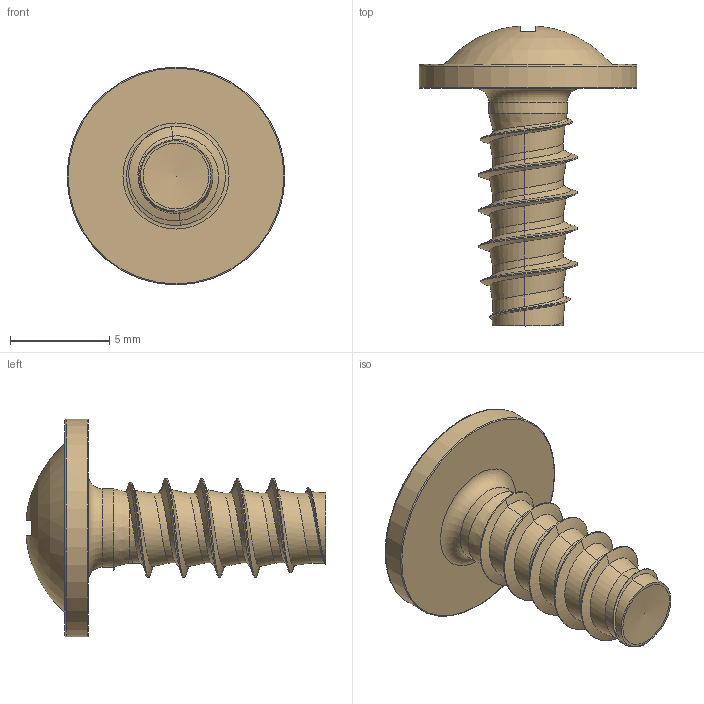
import cadquery as cq
import math


FLANGE_RADIUS = 5.5
FLANGE_THICKNESS = 1.2
FLANGE_TOP_FILLET = 0.1
FLANGE_BOTTOM_FILLET = 0.05
DOME_BASE_RADIUS = 4.25
DOME_HEIGHT = 1.97
CROWN = FLANGE_THICKNESS + DOME_HEIGHT

RECESS_WIDTH = 0.76
RECESS_SPAN = 3.6
RECESS_DEPTH = 1.3

JOINT_DEPTH = FLANGE_THICKNESS / 2

SHANK_LENGTH = 12.0
NECK_RADIUS = 1.98
UNDERHEAD_FILLET = 0.7
NECK_END = 1.27
NECK_TAPER_END = 2.1
TIP_DISH_RADIUS = 1.66
TIP_DISH_DEPTH = 0.1

PITCH = 1.8
CREST_RADIUS = 2.5
CREST_HALF_WIDTH = 0.03
CREST_ANGLE_AT_SEAT = 25.0
CORE_RADIUS = 1.77
CORE_TAPER_END = 1.08

TOOTH = [
    (-0.36, 0),
    (-0.12, 0.37),
    (-CREST_HALF_WIDTH, CREST_RADIUS - CORE_RADIUS),
    (CREST_HALF_WIDTH, CREST_RADIUS - CORE_RADIUS),
    (0.19, 0.18),
]

RUN_IN_HALF_TURNS = 3
FULL_HALF_TURNS = 7
RUN_OUT_HALF_TURNS = 4
RUN_IN_END = 3.05

RUN_IN_LOSS = 0.24
RUN_OUT_LOSS = 0.33
SMALLEST_TOOTH = 0.06


def revolve_about_axis(profile):
    """Revolve a half profile drawn in XY around the Y axis."""
    return profile.close().revolve(360, (0, 0, 0), (0, 1, 0))


def make_head():
    flange = cq.Workplane("XZ").circle(FLANGE_RADIUS).extrude(-FLANGE_THICKNESS)
    flange = flange.faces(">Y").edges().fillet(FLANGE_TOP_FILLET)
    flange = flange.faces("<Y").edges().fillet(FLANGE_BOTTOM_FILLET)

    sphere_radius = (DOME_BASE_RADIUS**2 + DOME_HEIGHT**2) / (2 * DOME_HEIGHT)
    half_angle = math.asin(DOME_BASE_RADIUS / sphere_radius) / 2
    arc_middle = (
        sphere_radius * math.sin(half_angle),
        CROWN - sphere_radius * (1 - math.cos(half_angle)),
    )
    dome = revolve_about_axis(
        cq.Workplane("XY")
        .moveTo(0, FLANGE_THICKNESS - JOINT_DEPTH)
        .lineTo(DOME_BASE_RADIUS, FLANGE_THICKNESS - JOINT_DEPTH)
        .lineTo(DOME_BASE_RADIUS, FLANGE_THICKNESS)
        .threePointArc(arc_middle, (0, CROWN))
    )
    return flange.union(dome)


def make_recess():
    plane = cq.Workplane("XZ", origin=(0, CROWN, 0))
    wing_pair = plane.rect(RECESS_SPAN, RECESS_WIDTH).extrude(RECESS_DEPTH)
    return wing_pair.union(plane.rect(RECESS_WIDTH, RECESS_SPAN).extrude(RECESS_DEPTH))


def make_neck():
    """Fillet under the flange, plain collar and cone down to the core."""
    fillet_middle = UNDERHEAD_FILLET * (1 - math.sqrt(0.5))
    return revolve_about_axis(
        cq.Workplane("XY")
        .moveTo(0, JOINT_DEPTH)
        .lineTo(NECK_RADIUS + UNDERHEAD_FILLET, JOINT_DEPTH)
        .lineTo(NECK_RADIUS + UNDERHEAD_FILLET, 0)
        .threePointArc((NECK_RADIUS + fillet_middle, -fillet_middle), (NECK_RADIUS, -UNDERHEAD_FILLET))
        .lineTo(NECK_RADIUS, -NECK_END)
        .lineTo(CORE_RADIUS, -NECK_TAPER_END)
        .lineTo(0, -NECK_TAPER_END)
    )




def crest_depth(station):
    """Depth of the crest below the seat at a half-turn station."""
    return RUN_IN_END + (station - RUN_IN_HALF_TURNS) * PITCH / 2


def tooth_scale(station):
    """Size of the tooth relative to the full one, reduced toward both ends."""
    run_in = RUN_IN_HALF_TURNS - station
    run_out = station - RUN_IN_HALF_TURNS - FULL_HALF_TURNS
    return max(SMALLEST_TOOTH, 1 - RUN_IN_LOSS * max(run_in, 0) - RUN_OUT_LOSS * max(run_out, 0))


def thread_corners(station):
    """Radius and depth of each corner of the thread section at a station."""
    depth = crest_depth(station)
    scale = tooth_scale(station)
    tooth = [(CORE_RADIUS + scale * height, depth + scale * offset) for offset, height in TOOTH]
    return tooth + [(CORE_RADIUS, depth + CORE_TAPER_END)]


def station_angle(station):
    return CREST_ANGLE_AT_SEAT + 360 * crest_depth(station) / PITCH


def half_turn(corner, station):
    """Helical edge followed by one corner of the section over half a turn."""
    start_radius, start_depth = thread_corners(station)[corner]
    end_radius, end_depth = thread_corners(station + 1)[corner]
    rise = end_depth - start_depth
    if math.isclose(start_radius, end_radius):
        helix = cq.Wire.makeHelix(2 * rise, rise, start_radius)
    else:
        cone_angle = math.atan2(end_radius - start_radius, rise)
        slant = rise / math.cos(cone_angle)
        helix = cq.Wire.makeHelix(2 * slant, slant, start_radius, angle=math.degrees(cone_angle))
    helix = helix.rotate(cq.Vector(0, 0, 0), cq.Vector(0, 0, 1), station_angle(station))
    return helix.translate(cq.Vector(0, 0, start_depth)).Edges()[0]


def axial_end_face(station):
    """Flat face from the axis to the section, spanning one pitch."""
    corners = thread_corners(station) + thread_corners(station + 2)[:1]
    outline = [(0, corners[0][1])] + corners + [(0, corners[-1][1])]
    angle = math.radians(station_angle(station))
    points = [cq.Vector(r * math.cos(angle), r * math.sin(angle), depth) for r, depth in outline]
    return cq.Face.makeFromWires(cq.Wire.makePolygon(points, close=True))


def helical_end_face(station):
    """Half a turn of the helicoid between the axis and the upper tooth foot."""
    start_depth = thread_corners(station)[0][1]
    end_depth = thread_corners(station + 1)[0][1]
    axis = cq.Edge.makeLine(cq.Vector(0, 0, start_depth), cq.Vector(0, 0, end_depth))
    return cq.Face.makeRuledSurface(axis, half_turn(0, station))


def make_threaded_rod():
    """Core and thread as one solid, skinned with helical strips."""
    last_station = RUN_IN_HALF_TURNS + FULL_HALF_TURNS + RUN_OUT_HALF_TURNS
    faces = [axial_end_face(0), axial_end_face(last_station)]
    for station in (0, 1, last_station, last_station + 1):
        faces.append(helical_end_face(station))
    for station in range(last_station):
        edges = [half_turn(corner, station) for corner in range(len(TOOTH) + 1)]
        edges.append(half_turn(0, station + 2))
        for upper, lower in zip(edges, edges[1:]):
            faces.append(cq.Face.makeRuledSurface(upper, lower))
    rod = cq.Solid.makeSolid(cq.Shell.makeShell(faces)).fix()
    return cq.Workplane(rod).rotate((0, 0, 0), (1, 0, 0), 90)


def make_thread_limits():
    """Body that cuts the rod off square at the neck and dishes the tip."""
    return revolve_about_axis(
        cq.Workplane("XY")
        .moveTo(0, -NECK_END)
        .lineTo(FLANGE_RADIUS, -NECK_END)
        .lineTo(FLANGE_RADIUS, -SHANK_LENGTH)
        .lineTo(TIP_DISH_RADIUS, -SHANK_LENGTH)
        .lineTo(0, -SHANK_LENGTH + TIP_DISH_DEPTH)
    )


threaded_rod = make_threaded_rod().intersect(make_thread_limits())
result = make_head().union(make_neck()).union(threaded_rod).cut(make_recess())